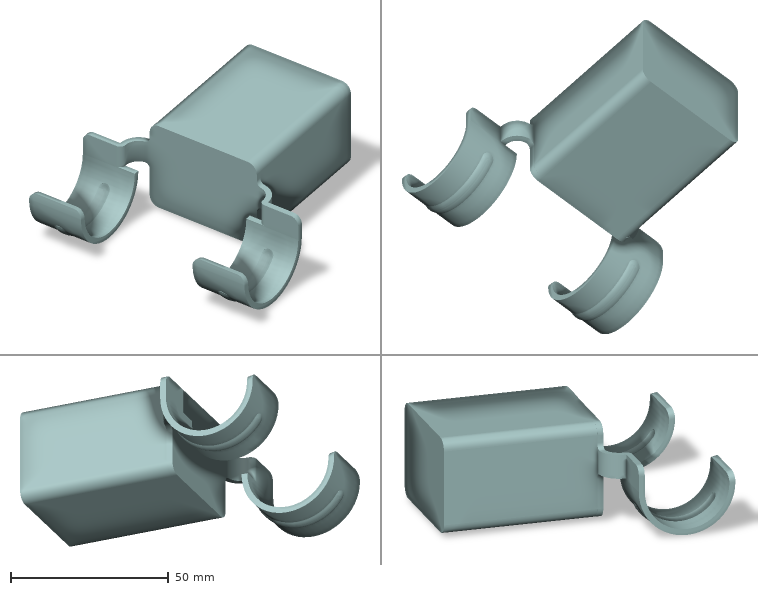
import cadquery as cq
import math

sheet = 2.0
corner_radius = 3.0

block_width = 41.0
plate_width = 41.2
block_length = 53.2
block_height = 32.0
block_edge_radius = 3.5

total_width = 83.0
total_length = 90.6
rib_bottom = -1.1

hook_width = 20.0
hook_outer_radius = 16.1
hook_inner_radius = hook_outer_radius - sheet
hook_tip_angle = 11.5
rib_height = 0.45
hook_center_x = (total_width - hook_width) / 2
hook_center_y = block_length - total_length + hook_outer_radius
hook_center_z = rib_bottom + rib_height + hook_outer_radius
tab_back_y = hook_center_y + hook_outer_radius
tab_front_y = tab_back_y - sheet

strap_bottom = 15.8
strap_height = 8.1
ear_fillet = 2.0
bend_outer_radius = 7.0
bend_inner_radius = bend_outer_radius - sheet
strap_outer_x = 28.45
bend_x = strap_outer_x - bend_outer_radius
bend_y = sheet - bend_outer_radius
strap_inner_x = bend_x + bend_inner_radius

rib_half_width = 2.13
rib_flat_half_width = 0.4
rib_root = 0.45
rib_end_angle = 34.0
groove_end_angle = 36.5
rib_arc_middle_x = (rib_half_width + rib_flat_half_width) / 2
rib_arc_middle_height = 0.75 * rib_height

COS_45 = math.cos(math.radians(45))


def rounded_prism(width, length):
    return (
        cq.Workplane("XY")
        .box(width, length, block_height, centered=(True, False, False))
        .edges("|Y")
        .fillet(block_edge_radius)
    )


def make_block():
    return rounded_prism(block_width, block_length).union(rounded_prism(plate_width, sheet))


def bent_strip(bottom, height):
    """Strip that leaves the front plate, bends forward, then folds sideways into the tab."""
    root_x = block_width / 2 - sheet
    tab_end_x = total_width / 2
    inner_offset = bend_inner_radius * COS_45
    outer_offset = bend_outer_radius * COS_45
    fold_middle = (strap_outer_x - sheet * COS_45, tab_back_y - sheet * COS_45)
    return (
        cq.Workplane("XY", origin=(0, 0, bottom))
        .moveTo(root_x, 0)
        .lineTo(bend_x, 0)
        .threePointArc((bend_x + inner_offset, bend_y + inner_offset), (strap_inner_x, bend_y))
        .lineTo(strap_inner_x, tab_back_y)
        .threePointArc(fold_middle, (strap_outer_x, tab_front_y))
        .lineTo(tab_end_x, tab_front_y)
        .lineTo(tab_end_x, tab_back_y)
        .lineTo(strap_outer_x, tab_back_y)
        .lineTo(strap_outer_x, bend_y)
        .threePointArc((bend_x + outer_offset, bend_y + outer_offset), (bend_x, sheet))
        .lineTo(root_x, sheet)
        .close()
        .extrude(height)
    )


def make_strap():
    return bent_strip(strap_bottom, strap_height).edges("|Y and >X and >Z").fillet(corner_radius)


def make_flare():
    """Start of the strip, widened by concave blends into the plate above and below."""
    side_x = plate_width / 2
    root_x = side_x - sheet
    flare_end_x = side_x + ear_fillet
    strap_top = strap_bottom + strap_height
    inset = ear_fillet * (1 - COS_45)
    outline = (
        cq.Workplane("XZ")
        .moveTo(root_x, strap_bottom - ear_fillet)
        .lineTo(side_x, strap_bottom - ear_fillet)
        .threePointArc((side_x + inset, strap_bottom - inset), (flare_end_x, strap_bottom))
        .lineTo(flare_end_x, strap_top)
        .threePointArc((side_x + inset, strap_top + inset), (side_x, strap_top + ear_fillet))
        .lineTo(root_x, strap_top + ear_fillet)
        .close()
        .extrude(sheet, both=True)
    )
    return bent_strip(strap_bottom - ear_fillet, strap_height + 2 * ear_fillet).intersect(outline)


def make_ring():
    """Hook ring with a short upright that reaches the bottom of the strap."""
    tip = math.radians(hook_tip_angle)
    tip_y = -math.cos(tip)
    tip_z = math.sin(tip)
    upright = strap_bottom - hook_center_z
    ring = (
        cq.Workplane("YZ", origin=(hook_center_x, hook_center_y, hook_center_z))
        .moveTo(hook_outer_radius, upright)
        .lineTo(hook_outer_radius, 0)
        .threePointArc((0, -hook_outer_radius), (hook_outer_radius * tip_y, hook_outer_radius * tip_z))
        .lineTo(hook_inner_radius * tip_y, hook_inner_radius * tip_z)
        .threePointArc((0, -hook_inner_radius), (hook_inner_radius, 0))
        .lineTo(hook_inner_radius, upright)
        .close()
        .extrude(hook_width / 2, both=True)
    )
    tip_point = (hook_center_x, hook_center_y - hook_outer_radius, hook_center_z + hook_outer_radius)
    tip_face = ring.faces(cq.selectors.NearestToPointSelector(tip_point))
    return tip_face.edges("not |X").fillet(corner_radius)


def rib_solid(base_radius, end_angle):
    """Curved raised bar with domed ends, standing outward on base_radius."""
    root = base_radius - rib_root
    crest = base_radius + rib_height
    arc_middle = base_radius + rib_arc_middle_height
    sweep = 180 - 2 * end_angle
    bar = (
        cq.Workplane("XY")
        .moveTo(-rib_half_width, root)
        .lineTo(-rib_half_width, base_radius)
        .threePointArc((-rib_arc_middle_x, arc_middle), (-rib_flat_half_width, crest))
        .lineTo(rib_flat_half_width, crest)
        .threePointArc((rib_arc_middle_x, arc_middle), (rib_half_width, base_radius))
        .lineTo(rib_half_width, root)
        .close()
        .revolve(sweep, (0, 0, 0), (1, 0, 0))
        .rotate((0, 0, 0), (1, 0, 0), end_angle - 180)
    )
    dome = (
        cq.Workplane("XY")
        .moveTo(0, root)
        .lineTo(rib_half_width, root)
        .lineTo(rib_half_width, base_radius)
        .threePointArc((rib_arc_middle_x, arc_middle), (rib_flat_half_width, crest))
        .lineTo(0, crest)
        .close()
        .revolve(360, (0, 0, 0), (0, 1, 0))
    )
    for angle in (-end_angle, end_angle - 180):
        bar = bar.union(dome.rotate((0, 0, 0), (1, 0, 0), angle))
    return bar.translate((hook_center_x, hook_center_y, hook_center_z))


def make_arm():
    rib = rib_solid(hook_outer_radius, rib_end_angle)
    groove = rib_solid(hook_inner_radius, groove_end_angle)
    hook = make_ring().union(rib).cut(groove)
    return make_flare().union(make_strap()).union(hook)


arm = make_arm()
result = make_block().union(arm).union(arm.mirror("YZ"))